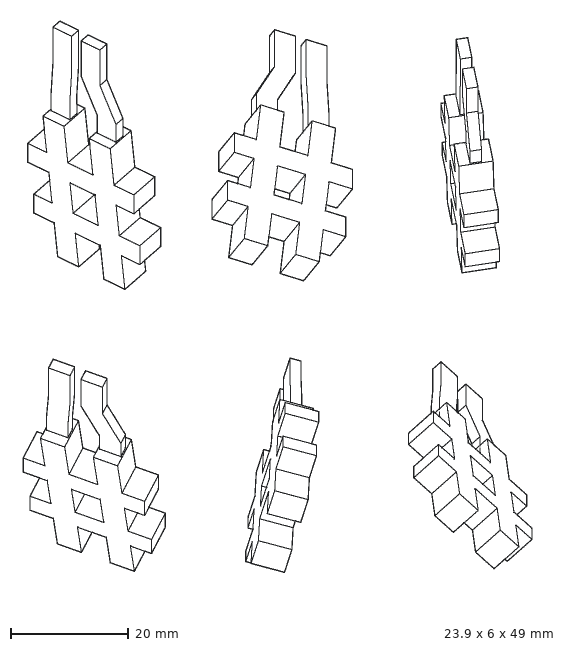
import cadquery as cq

TOTAL_WIDTH = 23.9
TOTAL_HEIGHT = 49.0
BODY_THICKNESS = 6.0
BODY_HEIGHT = 30.05

BAR_HEIGHT = 4.25
LOWER_BAR_Z = 7.2
BAR_PITCH = 10.8
BAR_SHIFT = 1.25
BAR_LENGTH = TOTAL_WIDTH - BAR_SHIFT
LEG_WIDTH = 4.5
LEG_PITCH = 9.85
LEG_LEAN = 3.15
LEG_TOP_INSET = 3.25

PRONG_WIDTH = 4.0
PRONG_THICKNESS = 2.0
PRONG_PLUG_DEPTH = 2.0
PRONG_TIP_LENGTH = 8.0
PRONG_JOG_HEIGHT = 7.0
PRONG_TIP_PITCH = 6.05
LEFT_JOG = 0.4

PART_LEFT = -TOTAL_WIDTH / 2
LEFT_LEG_TOP_X = PART_LEFT + LEG_TOP_INSET
RIGHT_LEG_TOP_X = LEFT_LEG_TOP_X + LEG_PITCH
PRONG_INSET = (LEG_WIDTH - PRONG_WIDTH) / 2
RIGHT_JOG = LEFT_JOG + PRONG_TIP_PITCH - LEG_PITCH


def extrude_profile(points, thickness):
    """Extrude a closed XZ outline symmetrically about the plane Y = 0."""
    return cq.Workplane("XZ").polyline(points).close().extrude(thickness / 2, both=True)


def make_bar(left_x, bottom_z):
    right_x = left_x + BAR_LENGTH
    top_z = bottom_z + BAR_HEIGHT
    outline = [(left_x, bottom_z), (right_x, bottom_z), (right_x, top_z), (left_x, top_z)]
    return extrude_profile(outline, BODY_THICKNESS)


def make_leg(top_left_x):
    foot_left_x = top_left_x + LEG_LEAN
    outline = [
        (foot_left_x, 0),
        (foot_left_x + LEG_WIDTH, 0),
        (top_left_x + LEG_WIDTH, BODY_HEIGHT),
        (top_left_x, BODY_HEIGHT),
    ]
    return extrude_profile(outline, BODY_THICKNESS)


def make_prong(leg_top_x, jog):
    """Strip that rises from its leg, jogs sideways and ends in a straight tip."""
    base_x = leg_top_x + PRONG_INSET
    tip_x = base_x + jog
    tip_start_z = TOTAL_HEIGHT - PRONG_TIP_LENGTH
    left_side = [
        (base_x, BODY_HEIGHT - PRONG_PLUG_DEPTH),
        (base_x, tip_start_z - PRONG_JOG_HEIGHT),
        (tip_x, tip_start_z),
        (tip_x, TOTAL_HEIGHT),
    ]
    right_side = [(x + PRONG_WIDTH, z) for x, z in reversed(left_side)]
    return extrude_profile(left_side + right_side, PRONG_THICKNESS)


def make_body(prongs):
    """Hash of bars and legs, with a matching socket for each prong."""
    body = make_bar(PART_LEFT, LOWER_BAR_Z + BAR_PITCH)
    body = body.union(make_bar(PART_LEFT + BAR_SHIFT, LOWER_BAR_Z))
    for leg_top_x in (LEFT_LEG_TOP_X, RIGHT_LEG_TOP_X):
        body = body.union(make_leg(leg_top_x))
    for prong in prongs:
        body = body.cut(prong)
    return body


prong_layout = [(LEFT_LEG_TOP_X, LEFT_JOG), (RIGHT_LEG_TOP_X, RIGHT_JOG)]
prongs = [make_prong(leg_top_x, jog) for leg_top_x, jog in prong_layout]
body = make_body(prongs)

result = cq.Compound.makeCompound([body.solids().val(), *[prong.val() for prong in prongs]])